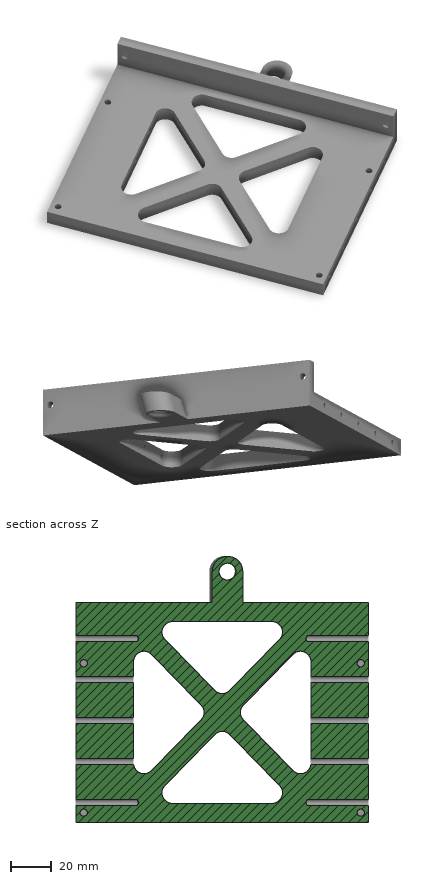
import cadquery as cq
import math

plate_length = 143.2
plate_width = 108.0
plate_thickness = 8.0
flange_height = 23.0
flange_thickness = 5.0

window_length = 86.5
window_width = 88.7
brace_width = 10.0
window_corner_radius = 5.0

screw_diameter = 3.3
screw_inset = 3.9
plate_screw_depth = 5.0
plate_screw_front = 5.0
plate_screw_spacing = 73.0
flange_screw_drop = 8.0

edge_hole_diameter = 2.7
edge_hole_depth = 30.0
edge_hole_tip_angle = 118.0
edge_hole_count = 5
edge_hole_front = 9.9
edge_hole_pitch = 20.0
edge_hole_height = 4.0

lug_radius = 7.6
lug_reach = 22.5
lug_height = 9.7
lug_base_offset = 1.5
lug_lean = 2.7
eye_diameter = 8.0
eye_rounding = 2.6

center_x = plate_length / 2
center_y = plate_width / 2


def make_angle_plate():
    plate = cq.Workplane("XY").box(plate_length, plate_width, plate_thickness, centered=False)
    flange = (
        cq.Workplane("XY")
        .box(plate_length, flange_thickness, flange_height, centered=False)
        .translate((0, plate_width - flange_thickness, 0))
    )
    return plate.union(flange)


def make_windows():
    windows = cq.Workplane("XY").box(window_length, window_width, plate_thickness)
    diagonal = math.hypot(window_length, window_width)
    diagonal_angle = math.degrees(math.atan2(window_width, window_length))
    for angle in (diagonal_angle, -diagonal_angle):
        brace = cq.Workplane("XY").box(2 * diagonal, brace_width, plate_thickness)
        windows = windows.cut(brace.rotate((0, 0, 0), (0, 0, 1), angle))
    windows = windows.edges("|Z").fillet(window_corner_radius)
    return windows.translate((center_x, center_y, plate_thickness / 2))


def make_screw_holes():
    columns = (screw_inset, plate_length - screw_inset)
    rows = (plate_screw_front, plate_screw_front + plate_screw_spacing)
    plate_holes = (
        cq.Workplane("XY", origin=(0, 0, plate_thickness))
        .pushPoints([(x, y) for x in columns for y in rows])
        .circle(screw_diameter / 2)
        .extrude(-plate_screw_depth)
    )
    flange_holes = (
        cq.Workplane("XZ", origin=(0, plate_width, 0))
        .pushPoints([(x, flange_height - flange_screw_drop) for x in columns])
        .circle(screw_diameter / 2)
        .extrude(flange_thickness)
    )
    return plate_holes.union(flange_holes)


def make_edge_hole(y):
    """Drilled hole with a conical tip, entering the left edge along +X."""
    radius = edge_hole_diameter / 2
    tip_length = radius / math.tan(math.radians(edge_hole_tip_angle / 2))
    return (
        cq.Workplane("XY", origin=(0, y, edge_hole_height))
        .polyline([(0, 0), (0, radius), (edge_hole_depth, radius), (edge_hole_depth + tip_length, 0)])
        .close()
        .revolve(360, (0, 0, 0), (1, 0, 0))
    )


def make_edge_holes():
    holes = cq.Workplane("XY")
    for index in range(edge_hole_count):
        left_hole = make_edge_hole(edge_hole_front + index * edge_hole_pitch)
        right_hole = left_hole.mirror("YZ", (center_x, 0, 0))
        holes = holes.add(left_hole).add(right_hole)
    return holes.combine()


def lean_upward(outline):
    """Extrude a closed outline to the lug height while it shifts towards +X."""
    lean = cq.Vector(lug_lean, 0, lug_height)
    return cq.Workplane("XY").add(cq.Solid.extrudeLinear(outline.val(), [], lean))


def make_lug():
    base = cq.Workplane("XY", origin=(center_x + lug_base_offset, plate_width, 0))
    eye_y = lug_reach - lug_radius
    outline = (
        base.moveTo(-lug_radius, 0)
        .lineTo(-lug_radius, eye_y)
        .threePointArc((0, lug_reach), (lug_radius, eye_y))
        .lineTo(lug_radius, 0)
        .close()
    )
    eye = base.center(0, eye_y).circle(eye_diameter / 2)
    lug = lean_upward(outline).cut(lean_upward(eye))
    eye_rims = lug.edges("%CIRCLE").edges(cq.selectors.RadiusNthSelector(0))
    return eye_rims.fillet(eye_rounding)


result = make_angle_plate()
result = result.cut(make_windows())
result = result.cut(make_screw_holes())
result = result.cut(make_edge_holes())
result = result.union(make_lug())